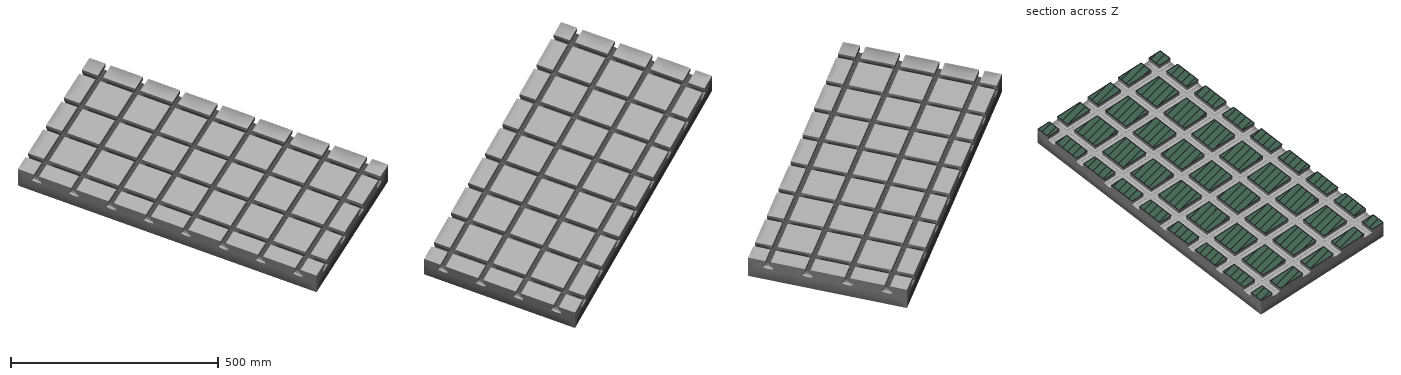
import cadquery as cq

LENGTH = 800.0
WIDTH = 400.0
THICKNESS = 60.0

SLOT_PITCH = 100.0
THROAT_WIDTH = 14.0
HEAD_WIDTH = 25.0
HEAD_HEIGHT = 11.0
SLOT_DEPTH = 23.0

GROOVE_WIDTH = 12.0
GROOVE_DEPTH = 1.0


def slot_positions(span):
    """Slot centrelines across a span, half a pitch in from each edge."""
    count = round(span / SLOT_PITCH)
    return [(i - (count - 1) / 2) * SLOT_PITCH for i in range(count)]


def t_slot(length):
    """T-slot cutter running along Y, centred on X = 0 and open at the top face."""
    floor = THICKNESS - SLOT_DEPTH
    shoulder = floor + HEAD_HEIGHT
    groove_floor = floor - GROOVE_DEPTH
    half_throat = THROAT_WIDTH / 2
    half_head = HEAD_WIDTH / 2
    half_groove = GROOVE_WIDTH / 2
    right_side = [
        (half_groove, groove_floor),
        (half_groove, floor),
        (half_head, floor),
        (half_head, shoulder),
        (half_throat, shoulder),
        (half_throat, THICKNESS),
    ]
    left_side = [(-x, z) for x, z in reversed(right_side)]
    return (
        cq.Workplane("XZ")
        .polyline(right_side + left_side)
        .close()
        .extrude(length / 2, both=True)
    )


def cut_slots(plate):
    """Cut the crossing grid of T-slots through the plate."""
    cross_slot = t_slot(WIDTH)
    for x in slot_positions(LENGTH):
        plate = plate.cut(cross_slot.translate((x, 0, 0)))
    long_slot = t_slot(LENGTH).rotate((0, 0, 0), (0, 0, 1), 90)
    for y in slot_positions(WIDTH):
        plate = plate.cut(long_slot.translate((0, y, 0)))
    return plate


blank = cq.Workplane("XY").box(LENGTH, WIDTH, THICKNESS, centered=(True, True, False))
result = cut_slots(blank)